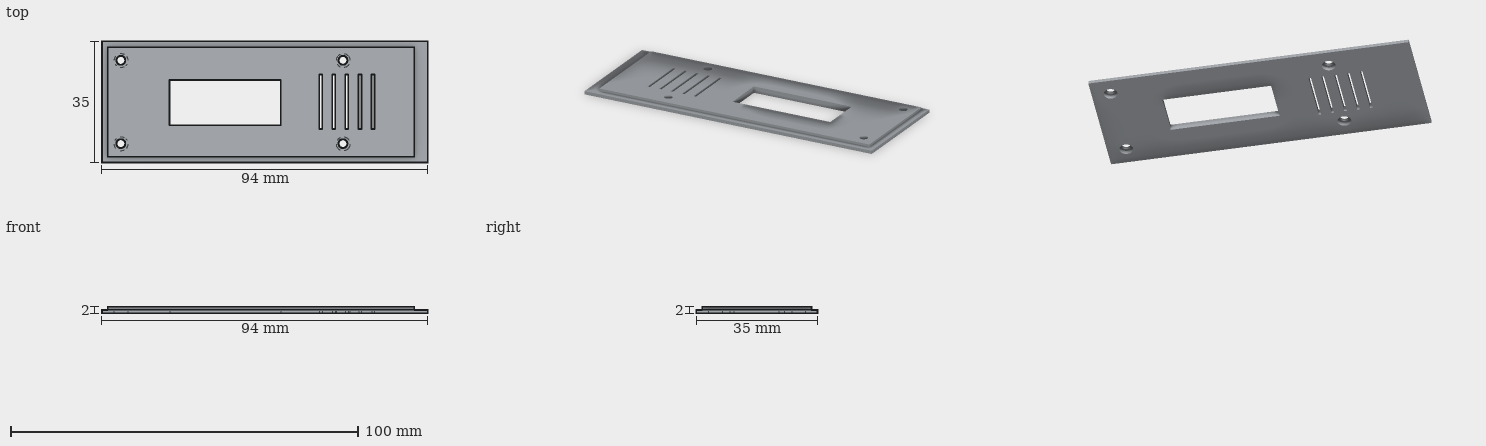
import cadquery as cq

plate_length = 94.0
plate_width = 35.0
plate_thickness = 1.0

pad_thickness = 1.0
rim = 1.7
end_rim = 3.95
pad_length = plate_length - rim - end_rim
pad_width = plate_width - 2 * rim
total_thickness = plate_thickness + pad_thickness

screw_diameter = 2.5
head_diameter = 4.0
head_depth = 1.2
screw_inset = 5.5
screw_spacing_x = 64.0
screw_spacing_y = plate_width - 2 * screw_inset

window_length = 32.0
window_width = 13.0
window_left = 19.57
window_bottom = 10.8

slot_count = 5
slot_width = 0.8
slot_length = 15.65
slot_pitch = 3.775
first_slot_left = 62.67
slot_bottom = 9.75


def block(left, bottom, length, width, base, height):
    """Return a box given by its lower corner and its size."""
    box = cq.Workplane("XY").box(length, width, height, centered=False)
    return box.translate((left, bottom, base))


def opening(left, bottom, length, width):
    """Return a cutter for a rectangular opening through the full thickness."""
    return block(left, bottom, length, width, 0, total_thickness)


def screw_hole(x, y):
    """Return a cutter for a through hole with a head recess in the underside."""
    base = cq.Workplane("XY").center(x, y)
    shank = base.circle(screw_diameter / 2).extrude(total_thickness)
    head = base.circle(head_diameter / 2).extrude(head_depth)
    return shank.union(head)


plate = block(0, 0, plate_length, plate_width, 0, plate_thickness)
pad = block(rim, rim, pad_length, pad_width, plate_thickness, pad_thickness)
body = plate.union(pad)

for x in (screw_inset, screw_inset + screw_spacing_x):
    for y in (screw_inset, screw_inset + screw_spacing_y):
        body = body.cut(screw_hole(x, y))

body = body.cut(opening(window_left, window_bottom, window_length, window_width))

for index in range(slot_count):
    slot_left = first_slot_left + index * slot_pitch
    body = body.cut(opening(slot_left, slot_bottom, slot_width, slot_length))

result = body